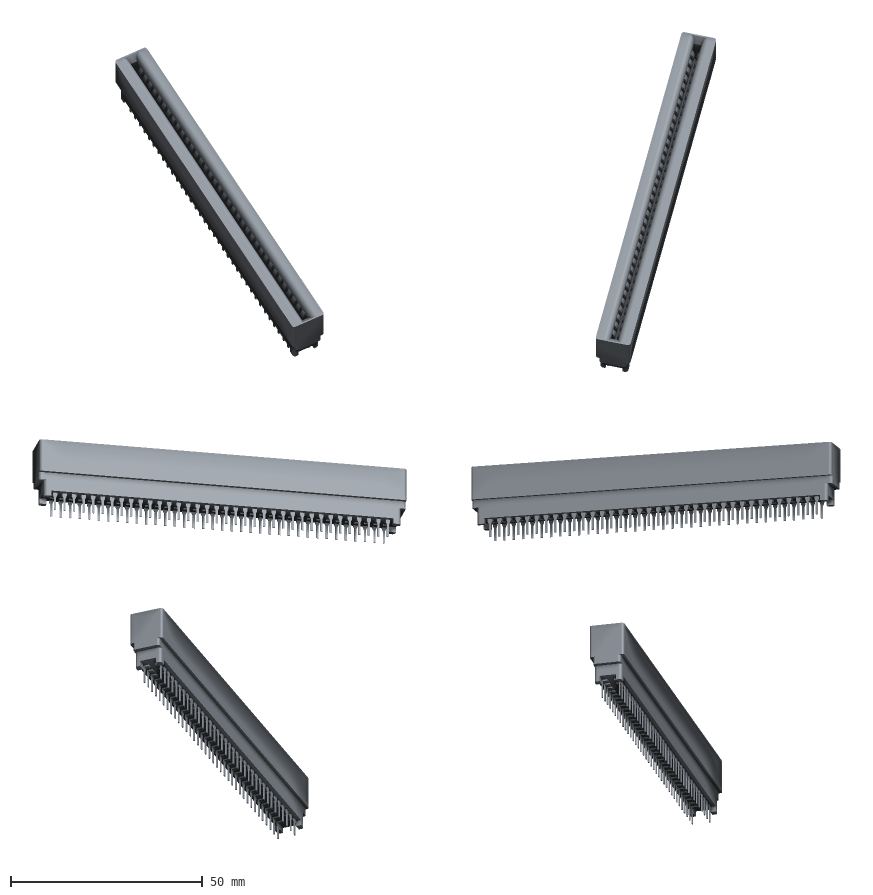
import cadquery as cq

length = 98.0
upper_width = 9.3
base_width = 7.5
total_height = 18.6
end_setback = 1.4
upper_bottom = 9.8
ledge_bottom = 7.7
base_bottom = 4.8
upper_corner_radius = 0.7
base_corner_radius = 0.8

foot_bottom = 3.3
foot_length = 2.0
foot_width = 1.5

slot_width = 2.1
slot_floor = upper_bottom
lip_radius = 1.5
lead_in_end_gap = 0.4
lead_in_end_depth = 1.6

contact_count = 36
contact_span = 88.9
contact_pitch = contact_span / (contact_count - 1)
contact_width = 1.4
spring_gap = 0.5
spring_top = 16.7
spring_bottom = 12.7

row_spacing = 4.7
pin_width = 0.6
pin_thickness = 0.3
shoulder_width = 1.2
shoulder_bottom = 4.1
taper_bottom = 3.4
tail_thickness = 0.4
tail_inner = 0.9

embed = 0.2


def rounded_block(size_x, size_y, bottom, top, radius):
    """Upright block centred on the Z axis with rounded vertical edges."""
    block = cq.Workplane("XY", origin=(0, 0, bottom)).rect(size_x, size_y).extrude(top - bottom)
    return block.edges("|Z").fillet(radius)


def housing():
    base_length = length - 2 * end_setback
    upper = rounded_block(length, upper_width, upper_bottom, total_height, upper_corner_radius)
    ledge = rounded_block(length, base_width, ledge_bottom, upper_bottom, upper_corner_radius)
    base = rounded_block(base_length, base_width, foot_bottom, ledge_bottom, base_corner_radius)

    relief_height = base_bottom - foot_bottom
    relief = cq.Workplane("XY", origin=(0, 0, foot_bottom))
    between_ends = relief.rect(base_length - 2 * foot_length, base_width).extrude(relief_height)
    between_sides = relief.rect(base_length, base_width - 2 * foot_width).extrude(relief_height)
    return upper.union(ledge).union(base.cut(between_ends).cut(between_sides))


def card_slot():
    half_top = length / 2 - lead_in_end_gap
    half_bottom = half_top - lead_in_end_depth
    half_slot = slot_width / 2
    lip_bottom = total_height - lip_radius

    flared = (
        cq.Workplane("YZ", origin=(-half_top, 0, 0))
        .moveTo(-half_slot, slot_floor)
        .lineTo(half_slot, slot_floor)
        .lineTo(half_slot, lip_bottom)
        .radiusArc((half_slot + lip_radius, total_height), lip_radius)
        .lineTo(-half_slot - lip_radius, total_height)
        .radiusArc((-half_slot, lip_bottom), lip_radius)
        .close()
        .extrude(2 * half_top)
    )
    lengthwise = (
        cq.Workplane("XZ")
        .polyline([
            (-half_top, total_height),
            (-half_bottom, total_height - lead_in_end_depth),
            (-half_bottom, slot_floor),
            (half_bottom, slot_floor),
            (half_bottom, total_height - lead_in_end_depth),
            (half_top, total_height),
        ])
        .close()
        .extrude(upper_width / 2, both=True)
    )
    return flared.intersect(lengthwise)


def spring(x):
    """Contact spring bowed inward from the +Y slot wall."""
    wall = slot_width / 2
    return (
        cq.Workplane("YZ", origin=(x - contact_width / 2, 0, 0))
        .moveTo(wall + embed, spring_bottom)
        .lineTo(wall, spring_bottom)
        .threePointArc((spring_gap / 2, (spring_bottom + spring_top) / 2), (wall, spring_top))
        .lineTo(wall + embed, spring_top)
        .close()
        .extrude(contact_width)
    )


def pin(x):
    """Solder pin of the +Y row with its tapered shoulder and inward tail."""
    root = base_bottom + embed
    row = row_spacing / 2
    blade = (
        cq.Workplane("XZ", origin=(x, row + pin_thickness / 2, 0))
        .polyline([
            (-shoulder_width / 2, root),
            (-shoulder_width / 2, shoulder_bottom),
            (-pin_width / 2, taper_bottom),
            (-pin_width / 2, 0),
            (pin_width / 2, 0),
            (pin_width / 2, taper_bottom),
            (shoulder_width / 2, shoulder_bottom),
            (shoulder_width / 2, root),
        ])
        .close()
        .extrude(pin_thickness)
    )
    tail_root = (x, tail_inner, base_bottom - tail_thickness)
    tail = cq.Workplane("XY", origin=tail_root).box(
        shoulder_width, row - tail_inner, tail_thickness + embed, centered=(True, False, False)
    )
    return blade.union(tail)


body = housing().cut(card_slot())

contacts = []
for index in range(contact_count):
    contact_x = index * contact_pitch - contact_span / 2
    for metal in (spring(contact_x), pin(contact_x)):
        contacts += [metal.val(), metal.mirror("XZ").val()]

result = cq.Workplane(body.val().fuse(*contacts))